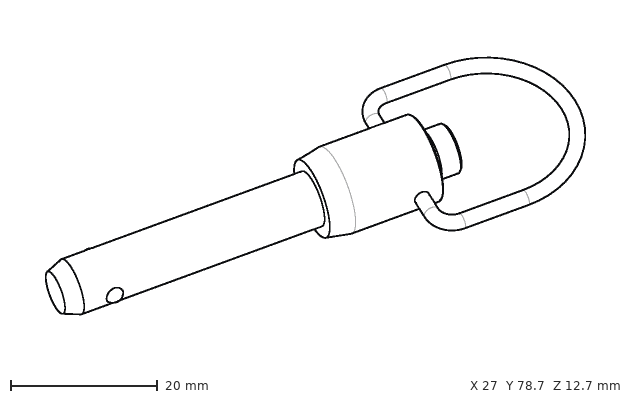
import cadquery as cq


shank_radius = 4.0
tip_radius = 3.1
tip_length = 2.4

body_radius = 6.33
body_nose_radius = 5.7
body_start = 38.8
body_nose_length = 3.55
body_end = 55.7
body_edge_chamfer = 0.15

button_radius = 3.6
button_end = 59.9
button_edge_chamfer = 0.3
collar_base_radius = 4.3
collar_length = 1.0

ball_radius = 1.4
ball_span = 9.6
ball_position = 7.1

overall_length = 78.7
ring_width = 27.0
wire_radius = 1.1
corner_radius = 3.15
ring_leg_position = 52.4


def make_pin():
    """Shank, body, collar and button revolved as one half profile."""
    nose_end = body_start + body_nose_length
    return (
        cq.Workplane("XY")
        .moveTo(0, 0)
        .lineTo(tip_radius, 0)
        .lineTo(shank_radius, tip_length)
        .lineTo(shank_radius, body_start)
        .lineTo(body_nose_radius, body_start)
        .lineTo(body_radius, nose_end)
        .lineTo(body_radius, body_end - body_edge_chamfer)
        .lineTo(body_radius - body_edge_chamfer, body_end)
        .lineTo(collar_base_radius, body_end)
        .lineTo(button_radius, body_end + collar_length)
        .lineTo(button_radius, button_end - button_edge_chamfer)
        .lineTo(button_radius - button_edge_chamfer, button_end)
        .lineTo(0, button_end)
        .close()
        .revolve(360, (0, 0, 0), (0, 1, 0))
    )


def make_ball(side):
    """Locking ball on one side of the shank; side is -1 or 1."""
    center_x = side * (ball_span / 2 - ball_radius)
    return cq.Workplane("XY").sphere(ball_radius).translate((center_x, ball_position, 0))


def make_ring():
    """Round wire bent into a D, with both ends buried in the body."""
    leg_x = ring_width / 2 - wire_radius
    arch_top = overall_length - wire_radius
    arch_start = arch_top - leg_x
    bend_x = leg_x - corner_radius
    bend_y = ring_leg_position + corner_radius
    buried_x = body_radius / 2
    path = (
        cq.Workplane("XY")
        .moveTo(-buried_x, ring_leg_position)
        .lineTo(-bend_x, ring_leg_position)
        .radiusArc((-leg_x, bend_y), corner_radius)
        .lineTo(-leg_x, arch_start)
        .threePointArc((0, arch_top), (leg_x, arch_start))
        .lineTo(leg_x, bend_y)
        .radiusArc((bend_x, ring_leg_position), corner_radius)
        .lineTo(buried_x, ring_leg_position)
    )
    section = cq.Workplane("YZ", origin=(-buried_x, ring_leg_position, 0)).circle(wire_radius)
    return section.sweep(path)


result = make_pin().union(make_ring())
for ball_side in (-1, 1):
    result = result.union(make_ball(ball_side))